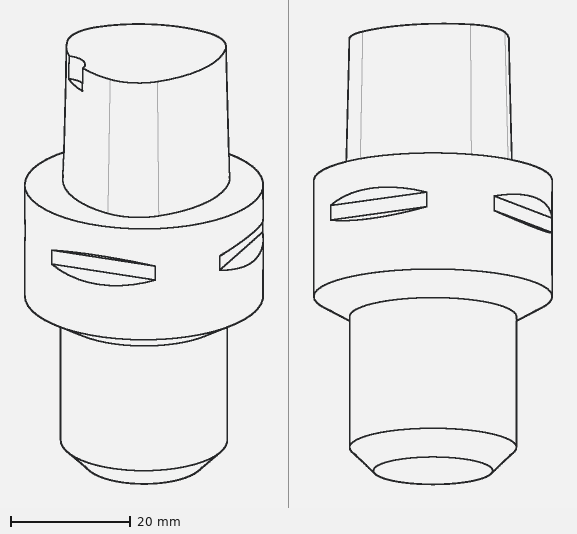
import math

import cadquery as cq

flange_radius = 20.0
flange_height = 20.0
shank_radius = 14.0
shank_end_z = -50.0
shank_end_chamfer = 4.0
flange_cone_height = 3.5

taper_width = 28.0
taper_height = 24.0
taper_angle = math.degrees(math.atan(1 / 40))
arc_center_spacing = 10.8
arc_center_distance = arc_center_spacing / math.sqrt(3)
lobe_radius = (taper_width - arc_center_spacing) / 2
side_radius = taper_width - lobe_radius
lobe_count = 3
first_lobe_angle = 90.0
lobe_pitch = 360 / lobe_count
arc_half_angle = lobe_pitch / 4

notch_radius = 4.0
notch_center_y = -15.0
notch_depth = 4.1

groove_count = 4
first_groove_angle = 45.0
groove_center_z = -8.0
groove_floor_distance = 17.65
groove_floor_height = 2.5
groove_wall_angle = 30.0


def polar(radius, angle, center=(0.0, 0.0)):
    """Point at a radius and an angle in degrees about a center."""
    turn = math.radians(angle)
    return (center[0] + radius * math.cos(turn), center[1] + radius * math.sin(turn))


def make_body():
    """Flange, conical shoulder and chamfered shank."""
    shoulder_z = -flange_height - flange_cone_height
    profile = (
        cq.Workplane("XZ")
        .moveTo(0, 0)
        .lineTo(flange_radius, 0)
        .lineTo(flange_radius, -flange_height)
        .lineTo(shank_radius, shoulder_z)
        .lineTo(shank_radius, shank_end_z + shank_end_chamfer)
        .lineTo(shank_radius - shank_end_chamfer, shank_end_z)
        .lineTo(0, shank_end_z)
        .close()
    )
    return profile.revolve(360, (0, 0, 0), (0, 1, 0))


def make_taper():
    """Tapered polygon whose outline alternates lobe arcs and flatter side arcs."""
    start_center = polar(arc_center_distance, first_lobe_angle)
    start = polar(lobe_radius, first_lobe_angle - arc_half_angle, start_center)
    outline = cq.Workplane("XY").moveTo(*start)
    for index in range(lobe_count):
        lobe_angle = first_lobe_angle + index * lobe_pitch
        lobe_center = polar(arc_center_distance, lobe_angle)
        lobe_middle = polar(lobe_radius, lobe_angle, lobe_center)
        lobe_end = polar(lobe_radius, lobe_angle + arc_half_angle, lobe_center)
        outline = outline.threePointArc(lobe_middle, lobe_end)

        side_angle = lobe_angle + lobe_pitch / 2
        side_center = polar(arc_center_distance, side_angle + 180)
        side_middle = polar(side_radius, side_angle, side_center)
        side_end = polar(side_radius, side_angle + arc_half_angle, side_center)
        outline = outline.threePointArc(side_middle, side_end)
    return outline.close().extrude(taper_height, taper=taper_angle)


def make_notch():
    """Round cutter that opens the top edge of the taper."""
    floor = cq.Workplane("XY", origin=(0, notch_center_y, taper_height - notch_depth))
    return floor.circle(notch_radius).extrude(notch_depth)


def make_groove(angle):
    """Trapezoidal cutter, widening outward and running straight across the rim."""
    cut_depth = flange_radius - groove_floor_distance
    floor_half = groove_floor_height / 2
    mouth_half = floor_half + cut_depth * math.tan(math.radians(groove_wall_angle))
    section = (
        cq.Workplane("XZ")
        .moveTo(groove_floor_distance, groove_center_z - floor_half)
        .lineTo(flange_radius, groove_center_z - mouth_half)
        .lineTo(flange_radius, groove_center_z + mouth_half)
        .lineTo(groove_floor_distance, groove_center_z + floor_half)
        .close()
    )
    return section.extrude(flange_radius, both=True).rotate((0, 0, 0), (0, 0, 1), angle)


result = make_body().union(make_taper()).cut(make_notch())
for groove_index in range(groove_count):
    groove_angle = first_groove_angle + groove_index * 360 / groove_count
    result = result.cut(make_groove(groove_angle))